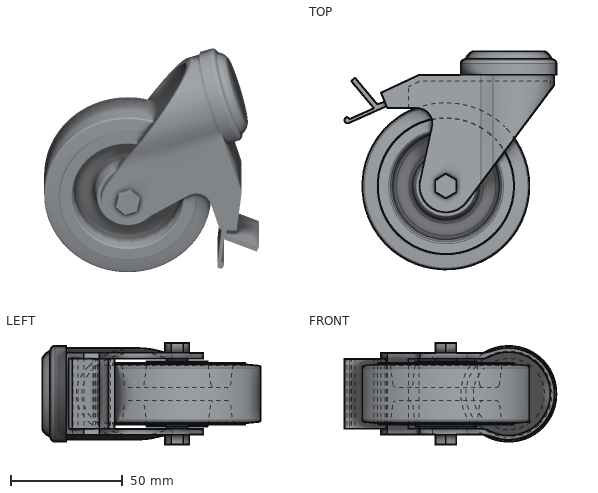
import cadquery as cq
import math


wheel_radius = 75.0 / 2
tread_half_width = 12.5
tread_edge = 0.9
tyre_shoulder = 13.2
rim_radius = 61.0 / 2
groove_radius = 30.7
groove_floor = 12.7
rim_half_width = 13.8
recess_radius = 25.1
recess_base_radius = 23.7
web_half_width = 2.9
web_fillet = 1.7
rim_lip_fillet = 0.8
hub_radius = 13.7
hub_edge_fillet = 0.3
hub_base_radius = 15.2
hub_half_width = 14.7

axle_radius = 9.7 / 2
bolt_head_corners = 11.0
bolt_half_length = 45.6 / 2

plate_thickness = 2.6
fork_inner_half = 15.7
fork_outer_half = fork_inner_half + plate_thickness
fork_top = 49.8
fork_foot_radius = 11.8
notch_radius = 6.9
notch_center_x = -12.9
nose_bottom = 34.9
nose_lower_x = -26.3
nose_upper = (-29.1, 41.8)
nose_top_x = -12.2
nose_web_x = -16.9
skirt_low = 45.4

swivel_x = 28.1
skirt_radius = 20.6
skirt_inner_radius = 18.7
flare_start_x = 15.6
cap_radius = 43.0 / 2
cap_band_top = 55.0
cap_shoulder = (20.3, 56.6)
cap_shoulder_rounding = 2.0
cap_step = (19.3, 57.0)
cap_dome_middle = (17.9, 59.1)
cap_crown_radius = 16.0
cap_top = 98 - wheel_radius

pedal_half_width = fork_inner_half
pedal_root_top = (-27.7, 37.7)
pedal_root_bottom = (-26.7, 35.9)
pedal_root_depth = 1.5
pedal_crotch = (-30.8, 36.7)
arm_end_upper = (-40.8, 48.6)
arm_end_lower = (-42.4, 47.0)
arm_foot = (-32.3, 34.9)
lever_end_top = (-43.0, 30.1)
lever_end_bottom = (-43.4, 28.2)
hook_bend = (-45.0, 28.4)
hook_side = (-45.2, 30.4)
hook_tip = (-44.5, 31.0)


def polar(radius, angle, center=(0, 0)):
    return center[0] + radius * math.cos(angle), center[1] + radius * math.sin(angle)


def fillet_circles(body, radius, height, size):
    """Round both circular edges of the given radius at plus and minus the given height."""
    tolerance = 0.0001
    rings = [
        edge
        for edge in body.edges("%CIRCLE").vals()
        if abs(edge.radius() - radius) < tolerance and abs(abs(edge.Center().z) - height) < tolerance
    ]
    return body.newObject(rings).fillet(size)


def make_wheel():
    """Profile symmetric about the middle plane, revolved about the axle."""
    upper = [
        (wheel_radius, tread_half_width),
        (groove_radius, tyre_shoulder),
        (groove_radius, groove_floor),
        (rim_radius, groove_floor),
        (rim_radius, rim_half_width),
        (recess_radius, rim_half_width),
        (recess_base_radius, web_half_width),
        (hub_base_radius, web_half_width),
        (hub_radius, hub_half_width),
        (0, hub_half_width),
    ]
    lower = [(radius, -height) for radius, height in reversed(upper)]
    wheel = cq.Workplane("XZ").polyline(upper + lower).close().revolve(360, (0, 0, 0), (0, 1, 0))
    wheel = fillet_circles(wheel, wheel_radius, tread_half_width, tread_edge)
    wheel = fillet_circles(wheel, recess_radius, rim_half_width, rim_lip_fillet)
    wheel = fillet_circles(wheel, recess_base_radius, web_half_width, web_fillet)
    wheel = fillet_circles(wheel, hub_base_radius, web_half_width, web_fillet)
    return fillet_circles(wheel, hub_radius, hub_half_width, hub_edge_fillet)


def make_axle():
    axle = cq.Workplane("XY").circle(axle_radius).extrude(fork_outer_half, both=True)
    head = (
        cq.Workplane("XY", origin=(0, 0, fork_outer_half))
        .transformed(rotate=(0, 0, 90))
        .polygon(6, bolt_head_corners)
        .extrude(bolt_half_length - fork_outer_half)
    )
    return axle.union(head).union(head.mirror("XY"))


def make_side_outline():
    """Side shape of the fork, seen along the axle."""
    notch_center = (notch_center_x, nose_bottom - notch_radius)
    notch_distance = math.hypot(*notch_center)
    notch_angle = math.atan2(notch_center[1], notch_center[0])
    front_angle = notch_angle + math.acos((fork_foot_radius + notch_radius) / notch_distance)
    foot_front = polar(fork_foot_radius, front_angle)
    notch_end = polar(notch_radius, front_angle + math.pi, notch_center)
    notch_middle = polar(notch_radius, (front_angle + math.pi + 2.5 * math.pi) / 2, notch_center)

    skirt_corner = (swivel_x + skirt_radius, skirt_low)
    rear_angle = math.atan2(skirt_corner[1], skirt_corner[0]) - math.acos(
        fork_foot_radius / math.hypot(*skirt_corner)
    )
    return (
        cq.Workplane("XY", origin=(0, 0, -skirt_radius))
        .moveTo(nose_top_x, fork_top)
        .lineTo(*nose_upper)
        .lineTo(nose_lower_x, nose_bottom)
        .lineTo(notch_center_x, nose_bottom)
        .threePointArc(notch_middle, notch_end)
        .lineTo(*foot_front)
        .threePointArc((0, -fork_foot_radius), polar(fork_foot_radius, rear_angle))
        .lineTo(*skirt_corner)
        .lineTo(skirt_corner[0], fork_top)
        .close()
        .extrude(2 * skirt_radius)
    )


def make_keyhole(start_x, half_width, radius, height):
    """Prism from the fork top downwards: parallel sides flaring tangentially into a round end."""
    offset = swivel_x - flare_start_x
    flare = (offset**2 + half_width**2 - radius**2) / (2 * (radius - half_width))
    flare_angle = math.atan2(half_width + flare, -offset)
    tangent_x, tangent_z = polar(radius, flare_angle, (swivel_x, 0))
    return (
        cq.Workplane("XZ", origin=(0, fork_top, 0))
        .moveTo(start_x, -half_width)
        .lineTo(flare_start_x, -half_width)
        .radiusArc((tangent_x, -tangent_z), flare)
        .threePointArc((swivel_x + radius, 0), (tangent_x, tangent_z))
        .radiusArc((flare_start_x, half_width), flare)
        .lineTo(start_x, half_width)
        .close()
        .extrude(height)
    )


def make_fork():
    fork_height = fork_top + fork_foot_radius
    shell = make_keyhole(nose_upper[0], fork_outer_half, skirt_radius, fork_height)
    cavity = make_keyhole(nose_web_x, fork_inner_half, skirt_inner_radius, fork_height)
    cavity = cavity.translate((0, -plate_thickness, 0))
    slope = math.atan2(fork_top - nose_upper[1], nose_top_x - nose_upper[0])
    roof_drop = plate_thickness / math.cos(slope)
    roof_slope = (
        cq.Workplane("XY")
        .moveTo(nose_upper[0], fork_top)
        .lineTo(nose_upper[0], nose_upper[1] - roof_drop)
        .lineTo(nose_top_x, fork_top - roof_drop)
        .lineTo(nose_top_x, fork_top)
        .close()
        .extrude(fork_outer_half, both=True)
    )
    return shell.cut(cavity.cut(roof_slope)).intersect(make_side_outline())


def make_cap():
    return (
        cq.Workplane("XY")
        .moveTo(0, fork_top)
        .lineTo(cap_radius, fork_top)
        .lineTo(cap_radius, cap_band_top)
        .radiusArc(cap_shoulder, -cap_shoulder_rounding)
        .lineTo(*cap_step)
        .threePointArc(cap_dome_middle, (cap_crown_radius, cap_top))
        .lineTo(0, cap_top)
        .close()
        .revolve(360, (0, 0, 0), (0, 1, 0))
        .translate((swivel_x, 0, 0))
    )


def make_pedal():
    stem_x = pedal_root_top[0] - pedal_crotch[0]
    stem_y = pedal_root_top[1] - pedal_crotch[1]
    stretch = pedal_root_depth / math.hypot(stem_x, stem_y)
    root_shift = (stem_x * stretch, stem_y * stretch)
    return (
        cq.Workplane("XY")
        .moveTo(pedal_root_bottom[0] + root_shift[0], pedal_root_bottom[1] + root_shift[1])
        .lineTo(pedal_root_top[0] + root_shift[0], pedal_root_top[1] + root_shift[1])
        .lineTo(*pedal_crotch)
        .lineTo(*arm_end_upper)
        .lineTo(*arm_end_lower)
        .lineTo(*arm_foot)
        .lineTo(*lever_end_top)
        .lineTo(*hook_tip)
        .lineTo(*hook_side)
        .threePointArc(hook_bend, lever_end_bottom)
        .close()
        .extrude(pedal_half_width, both=True)
    )


result = make_wheel().union(make_axle()).union(make_fork()).union(make_cap()).union(make_pedal())